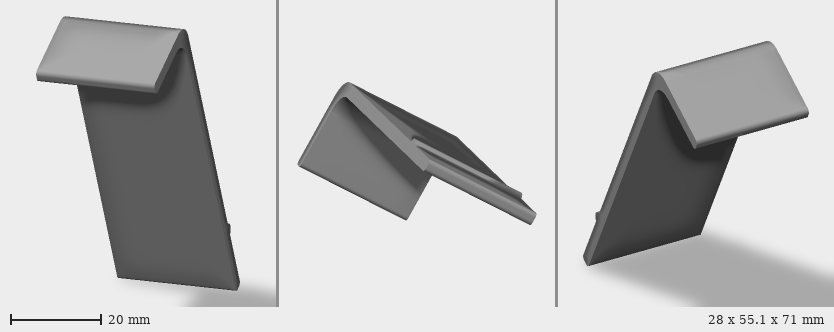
import cadquery as cq
import math

width = 28.0
thickness = 3.0
bend_radius = 5.0
end_radius = 1.0

leg_length = 80.0
flange_length = 22.1
leg_angle = math.radians(63.5)
flange_angle = math.radians(25)
corner = (-7.8, 37.25)

rib_radius = 1.8
rib_height = 1.1
rib_distance = 63.45

leg_along = (math.cos(leg_angle), -math.sin(leg_angle))
leg_inward = (-math.sin(leg_angle), -math.cos(leg_angle))
flange_along = (-math.cos(flange_angle), -math.sin(flange_angle))
flange_inward = (math.sin(flange_angle), -math.cos(flange_angle))


def arm_point(along, inward, distance, depth):
    """Point at a distance along an arm and a depth below its outer face."""
    return tuple(c + distance * a + depth * n for c, a, n in zip(corner, along, inward))


bend_angle = leg_angle + flange_angle
inner_setback = thickness / math.tan((math.pi - bend_angle) / 2)
inner_corner = arm_point(leg_along, leg_inward, inner_setback, thickness)


def extrude_across_width(outline):
    return outline.extrude(width / 2, both=True)


def rounded_arm(along, inward, length):
    """Straight arm from the sharp outer corner, with both free edges rounded."""
    outline = [
        corner,
        arm_point(along, inward, length, 0),
        arm_point(along, inward, length, thickness),
        inner_corner,
    ]
    arm = extrude_across_width(cq.Workplane("YZ").polyline(outline).close())
    for depth in (0, thickness):
        edge_place = (0, *arm_point(along, inward, length, depth))
        arm = arm.edges(cq.selectors.NearestToPointSelector(edge_place)).fillet(end_radius)
    return arm


leg = rounded_arm(leg_along, leg_inward, leg_length)
flange = rounded_arm(flange_along, flange_inward, flange_length)
bracket = leg.union(flange)

for bend_corner in (corner, inner_corner):
    bend_edge = cq.selectors.NearestToPointSelector((0, *bend_corner))
    bracket = bracket.edges(bend_edge).fillet(bend_radius)

rib_centre = arm_point(leg_along, leg_inward, rib_distance, rib_radius - rib_height)
rib = extrude_across_width(cq.Workplane("YZ").center(*rib_centre).circle(rib_radius))
result = bracket.union(rib)